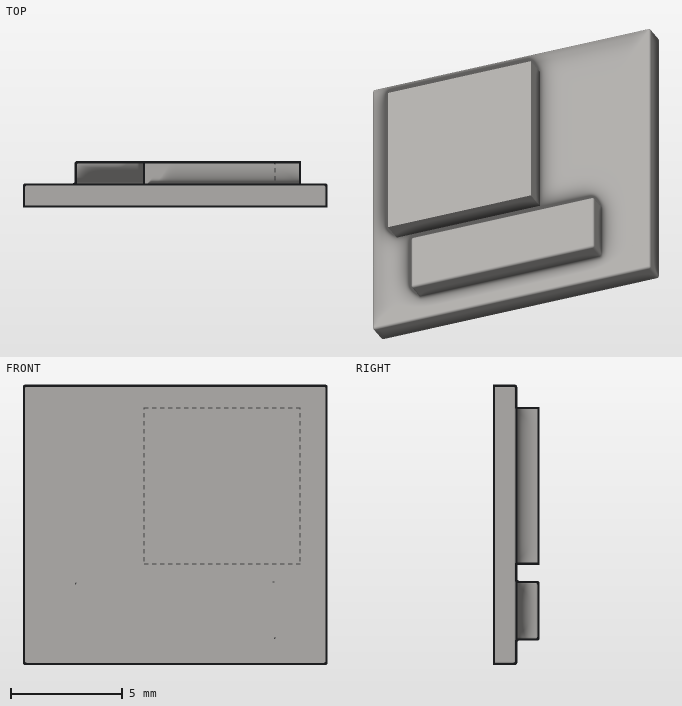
import cadquery as cq

plate_width = 13.6
plate_height = 12.5
total_depth = 2.0
thickness = total_depth / 2
edge_radius = 0.1

block_side = 7.0
block_left = -1.4
block_top = plate_height / 2 - thickness

bar_left = -4.47
bar_width = -2 * bar_left
bar_height = 2.6
bar_top = -2.55

embed = 0.14

face_tolerance = 0.01


def make_box(left, top, width, height, front, back):
    """Box given by its left and top edges, its size and its Y range."""
    size_y = back - front
    corner = (left, front, top - height)
    return cq.Workplane("XY").box(width, size_y, height, centered=False).translate(corner)


def make_plate():
    plate = make_box(-plate_width / 2, plate_height / 2, plate_width, plate_height, 0, thickness)
    return plate.edges("|Y or >Y").fillet(edge_radius)


def make_block():
    return make_box(
        block_left, block_top, block_side, block_side, thickness - embed, total_depth
    )


def make_bar():
    bar = make_box(bar_left, bar_top, bar_width, bar_height, thickness - embed, total_depth)
    return bar.edges("|Y or >Y").fillet(edge_radius)


def round_bar_foot(body):
    """Concave fillet where the bar meets the plate."""
    foot_zone = cq.selectors.BoxSelector(
        (bar_left - embed, thickness - face_tolerance, bar_top - bar_height - embed),
        (bar_left + bar_width + embed, thickness + face_tolerance, bar_top + embed),
        boundingbox=True,
    )
    return body.edges(foot_zone).fillet(edge_radius)


plate_with_bar = round_bar_foot(make_plate().union(make_bar()))
result = plate_with_bar.union(make_block())